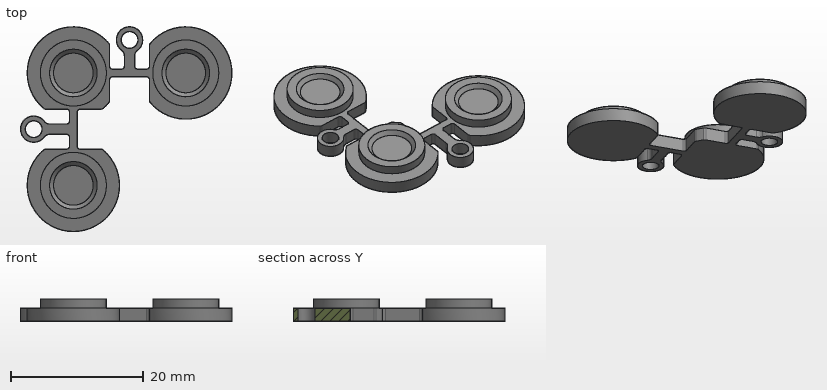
import cadquery as cq
import math

PITCH = 17.0
FLANGE_DIAMETER = 14.0
FLANGE_HEIGHT = 2.0
BOSS_DIAMETER = 10.0
BOSS_HEIGHT = 1.4
DISH_TOP_DIAMETER = 7.2
DISH_FLOOR_DIAMETER = 6.0
DISH_DEPTH = 0.6

GAP = 6.0
WEB_WIDTH = 1.2

EYELET_DIAMETER = 4.0
EYELET_HOLE_DIAMETER = 2.5
STEM_WIDTH = 1.6
TOP_EYELET_REACH = 5.0
LEFT_EYELET_REACH = 6.0

FLAT_CORNER_RADIUS = 0.5
WEB_FILLET = 0.4
EYELET_FILLET = 1.0
EDGE_TOLERANCE = 0.05

FLAT_OFFSET = (PITCH - GAP) / 2
BUTTON_CENTRES = [(0, 0), (PITCH, 0), (0, -PITCH)]


def plate(length, width, centre):
    """Flange-height rectangular block standing on the base plane."""
    return cq.Workplane("XY").center(*centre).rect(length, width).extrude(FLANGE_HEIGHT)


def make_flanges():
    """Round flanges, cut by flats where they face a neighbour."""
    discs = cq.Workplane("XY").pushPoints(BUTTON_CENTRES).circle(FLANGE_DIAMETER / 2).extrude(FLANGE_HEIGHT)
    gap_x = plate(GAP, FLANGE_DIAMETER, (PITCH / 2, 0))
    gap_y = plate(FLANGE_DIAMETER, GAP, (0, -PITCH / 2))
    return discs.cut(gap_x).cut(gap_y)


def make_link(reach):
    """Web along X with a stem and eyelet head toward +Y; origin at the web's middle."""
    web = plate(GAP, WEB_WIDTH, (0, 0))
    stem = plate(STEM_WIDTH, reach, (0, reach / 2))
    eyelet = cq.Workplane("XY").center(0, reach).circle(EYELET_DIAMETER / 2).extrude(FLANGE_HEIGHT)
    hole = cq.Workplane("XY").center(0, reach).circle(EYELET_HOLE_DIAMETER / 2).extrude(FLANGE_HEIGHT)
    return web.union(stem).union(eyelet).cut(hole)


def mirrored(x, y_values):
    """Corner points on both sides of a link's centreline."""
    return [(side * x, y) for side in (-1, 1) for y in y_values]


def round_corners(body, corners, radius):
    """Round the vertical edges that stand at the given XY corners."""
    at_corners = None
    mid_height = FLANGE_HEIGHT / 2
    for x, y in corners:
        box = cq.selectors.BoxSelector(
            (x - EDGE_TOLERANCE, y - EDGE_TOLERANCE, mid_height - EDGE_TOLERANCE),
            (x + EDGE_TOLERANCE, y + EDGE_TOLERANCE, mid_height + EDGE_TOLERANCE),
        )
        at_corners = box if at_corners is None else at_corners + box
    return body.edges("|Z").edges(at_corners).fillet(radius)


def round_link(body, reach):
    """Round every corner around a link that lies along X with its middle at the origin."""
    half_gap = GAP / 2
    half_web = WEB_WIDTH / 2
    half_stem = STEM_WIDTH / 2
    flat_end = math.sqrt((FLANGE_DIAMETER / 2) ** 2 - FLAT_OFFSET**2)
    eyelet_joint = reach - math.sqrt((EYELET_DIAMETER / 2) ** 2 - half_stem**2)

    flat_corners = mirrored(half_gap, (-flat_end, flat_end))
    web_corners = mirrored(half_gap, (-half_web, half_web)) + mirrored(half_stem, (half_web,))
    eyelet_corners = mirrored(half_stem, (eyelet_joint,))

    body = round_corners(body, flat_corners, FLAT_CORNER_RADIUS)
    body = round_corners(body, web_corners, WEB_FILLET)
    return round_corners(body, eyelet_corners, EYELET_FILLET)


def add_link(body, middle, turn, reach):
    """Add a rounded link at a gap's middle, turned about Z by the given angle in degrees."""
    middle_x, middle_y = middle
    axis = ((0, 0, 0), (0, 0, 1))
    body = body.translate((-middle_x, -middle_y, 0)).rotate(*axis, -turn)
    body = round_link(body.union(make_link(reach)), reach)
    return body.rotate(*axis, turn).translate((middle_x, middle_y, 0))


def make_bosses():
    """Raised round bosses on top of the flanges."""
    return (
        cq.Workplane("XY", origin=(0, 0, FLANGE_HEIGHT))
        .pushPoints(BUTTON_CENTRES)
        .circle(BOSS_DIAMETER / 2)
        .extrude(BOSS_HEIGHT)
    )


def make_dish(centre):
    """Conical, flat-floored recess in the top of one boss."""
    floor_z = FLANGE_HEIGHT + BOSS_HEIGHT - DISH_DEPTH
    return (
        cq.Workplane("XY", origin=(*centre, floor_z))
        .circle(DISH_FLOOR_DIAMETER / 2)
        .workplane(offset=DISH_DEPTH)
        .circle(DISH_TOP_DIAMETER / 2)
        .loft()
    )


base = make_flanges()
base = add_link(base, (PITCH / 2, 0), 0, TOP_EYELET_REACH)
base = add_link(base, (0, -PITCH / 2), 90, LEFT_EYELET_REACH)

result = base.union(make_bosses())
for button_centre in BUTTON_CENTRES:
    result = result.cut(make_dish(button_centre))